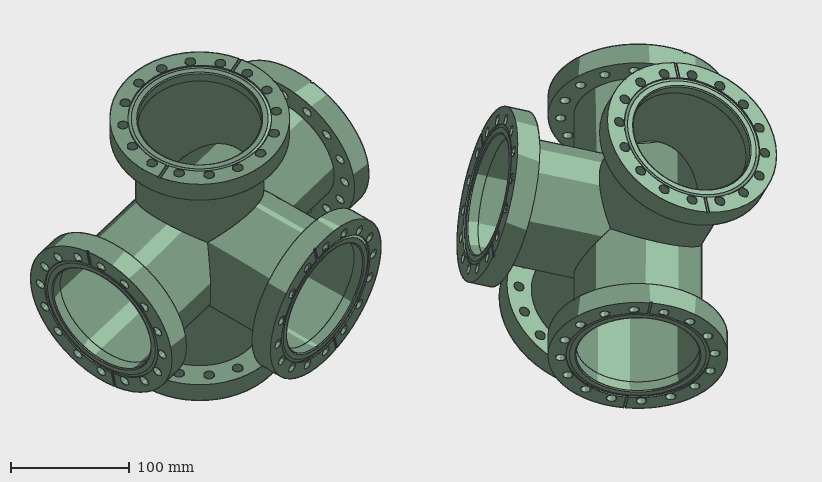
import cadquery as cq


ARM_LENGTH = 134.9
FLANGE_RADIUS = 75.8
FLANGE_THICKNESS = 19.8

TUBE_OUTER_RADIUS = 54.0
TUBE_BORE_RADIUS = 52.15

FLANGE_BORE_RADIUS = TUBE_BORE_RADIUS
BORE_CHAMFER = 1.0
TUBE_END_DEPTH = 10.5

BOLT_COUNT = 16
BOLT_CIRCLE_RADIUS = 65.1
BOLT_HOLE_RADIUS = 4.4

RECESS_RADIUS = 60.5
KNIFE_RADIUS = 57.7
KNIFE_DEPTH = 0.5
RECESS_DEPTH = 1.5

GROOVE_WIDTH = 2.0
GROOVE_DEPTH = 1.0
GROOVE_OVERRUN = 1.0
BOLT_PITCH_ANGLE = 360 / BOLT_COUNT
GROOVE_ANGLE = 90 + BOLT_PITCH_ANGLE / 2

ORIGIN = cq.Vector(0, 0, 0)
X_AXIS = cq.Vector(1, 0, 0)
Z_AXIS = cq.Vector(0, 0, 1)

TUBE_LENGTH = ARM_LENGTH - TUBE_END_DEPTH


def make_arms(radius):
    """Solid cylinders along all five arms: full length in Y and Z, one side only in X."""
    along_z = cq.Workplane("XY").circle(radius).extrude(TUBE_LENGTH, both=True)
    along_y = cq.Workplane("XZ").circle(radius).extrude(TUBE_LENGTH, both=True)
    along_x = cq.Workplane("YZ").circle(radius).extrude(TUBE_LENGTH)
    return along_z.union(along_y).union(along_x)


def make_cross_tube():
    return make_arms(TUBE_OUTER_RADIUS).cut(make_arms(TUBE_BORE_RADIUS))


def make_flange_ring():
    """Turned flange on the +Z arm: socket, bore and knife-edge recess in one profile."""
    face = ARM_LENGTH
    back = face - FLANGE_THICKNESS
    tube_end = face - TUBE_END_DEPTH
    profile = [
        (TUBE_OUTER_RADIUS, back),
        (FLANGE_RADIUS, back),
        (FLANGE_RADIUS, face),
        (RECESS_RADIUS, face),
        (RECESS_RADIUS, face - RECESS_DEPTH),
        (KNIFE_RADIUS, face - KNIFE_DEPTH),
        (FLANGE_BORE_RADIUS + BORE_CHAMFER, face - KNIFE_DEPTH),
        (FLANGE_BORE_RADIUS, face - KNIFE_DEPTH - BORE_CHAMFER),
        (FLANGE_BORE_RADIUS, tube_end),
        (TUBE_OUTER_RADIUS, tube_end),
    ]
    return cq.Workplane("XZ").polyline(profile).close().revolve(360, (0, 0), (0, 1))


def make_bolt_holes():
    return (
        cq.Workplane("XY", origin=(0, 0, ARM_LENGTH))
        .polarArray(BOLT_CIRCLE_RADIUS, 0, 360, BOLT_COUNT)
        .circle(BOLT_HOLE_RADIUS)
        .extrude(-FLANGE_THICKNESS)
    )


def make_leak_grooves():
    """Two opposite radial slots from the gasket recess out through the rim."""
    inner_end = (KNIFE_RADIUS + RECESS_RADIUS) / 2
    outer_end = FLANGE_RADIUS + GROOVE_OVERRUN
    return (
        cq.Workplane("XY", origin=(0, 0, ARM_LENGTH))
        .polarArray((inner_end + outer_end) / 2, GROOVE_ANGLE, 360, 2)
        .rect(outer_end - inner_end, GROOVE_WIDTH)
        .extrude(-GROOVE_DEPTH)
    )


def make_flange():
    """Flange on the +Z arm."""
    return make_flange_ring().cut(make_bolt_holes()).cut(make_leak_grooves())


cross_tube = make_cross_tube()

flange = make_flange()
flanges = [flange.rotate(ORIGIN, X_AXIS, angle) for angle in (0, 90, 180, 270)]
minus_y_flange = flanges[1]
flanges.append(minus_y_flange.rotate(ORIGIN, Z_AXIS, 90))

result = cq.Compound.makeCompound([cross_tube.val(), *[body.val() for body in flanges]])